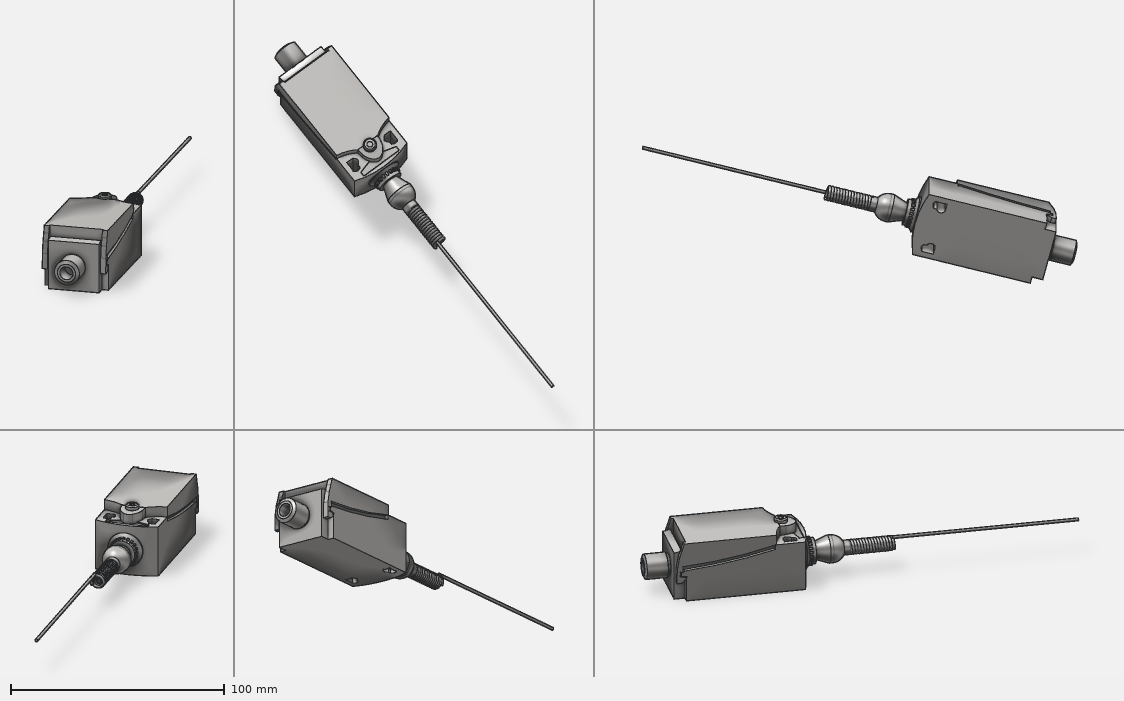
import cadquery as cq
import math


OVERLAP = 1.0

half_width = 15.5
head_z = 24.7
cover_z = 29.7
front_wall_y = 5.2
head_side_y = 62.3
head_end_y = 65.0
cover_end = [(half_width, 48.5), (9.6, 50.2), (5.9, 52.2)]

cheek_inner_x = 13.0
cheek_facets = [(4.2, cover_z), (3.1, 26.3), (1.9, 22.5), (0.8, 17.0), (0.6, 9.5)]
hook_end_y = 3.0
hook_curve = (4.2, 10.5)

groove_depth = 1.7
groove_end_y = 48.0
groove_middle_y = 25.5
groove_tip_y = 3.5
seam_start_y = 5.5
seam_start_z = 12.1
seam_tip_y = 2.3
seam_bottom_z = 12.7
seam_top_z = 15.0
seam_width = 0.5

plug_half_width = 12.3
plug_z = 23.8
plug_ridge_y = 3.5
plug_ridge_z = 24.7
plug_gap_depth = 1.7
axis_z = 12.3
connector_radius = 6.0
connector_neck_radius = 5.5
connector_neck_length = 1.3
connector_length = 12.3
rim_radius = 4.4
rim_bevel = 0.8
bore_radius = 3.1
bore_depth = 8.4

pocket_depth = 0.6
slot_x = 11.0
slot_width = 3.5
slot_bottom_y = 52.9
slot_top_y = 59.1
hole_x = 10.0
hole_radius = 2.0
block_nose_y = 61.2
block_nose_z = 28.8
block_step = 0.2
screw_y = 54.0
screw_z = 31.4
screw_radius = 3.1
screw_chamfer = 0.6
socket_radius = 1.35
socket_depth = 0.5

bulb_radius = 6.7
bulb_y = 78.2
bulb_band_y = 76.7
collar_radius = 3.5
collar_end_y = 87.0
neck_radius = 4.2
skirt_radius = 6.3
skirt_end_y = 69.8
flare_radius = 8.5
flare_end_y = 66.9
rib_count = 20
rib_width = 1.0
rib_radius = 7.0
rib_start_y = 64.8
rib_end_y = 68.1

coil_wire_radius = 0.67
coil_radius = 3.0
coil_pitch = 1.38
spring_end_y = 107.8
whisker_radius = 0.73
whisker_x = 1.3
whisker_z = 15.9
whisker_end_y = 196.7


def side_plane(x):
    """YZ plane at the given x; extrusions from it grow toward +X."""
    return cq.Workplane("YZ", origin=(x, 0, 0))


def both_sides(solid):
    return solid.union(solid.mirror("YZ"))


def mirrored(points):
    """The points with x negated, in reverse order."""
    return [(-x, y) for x, y in reversed(points)]


def revolved(profile):
    """Turn a closed (radius, y) profile about the switch axis."""
    return profile.close().revolve(360, (0, 0, 0), (0, 1, 0)).translate((0, 0, axis_z))


def make_housing():
    plan = (
        cq.Workplane("XY")
        .moveTo(-half_width, front_wall_y)
        .lineTo(half_width, front_wall_y)
        .lineTo(half_width, head_side_y)
        .threePointArc((0, head_end_y), (-half_width, head_side_y))
        .close()
    )
    housing = plan.extrude(cover_z)
    left_arc = mirrored(cover_end)
    above_head = (
        cq.Workplane("XY", origin=(0, 0, head_z))
        .moveTo(*cover_end[0])
        .threePointArc(*cover_end[1:])
        .lineTo(*left_arc[0])
        .threePointArc(*left_arc[1:])
        .lineTo(-half_width, head_end_y)
        .lineTo(half_width, head_end_y)
        .close()
        .extrude(cover_z - head_z)
    )
    return housing.cut(above_head)


def make_cheeks():
    inside_y = front_wall_y + OVERLAP
    cheek = (
        side_plane(cheek_inner_x)
        .moveTo(inside_y, cover_z)
        .polyline(cheek_facets, includeCurrent=True)
        .lineTo(hook_end_y, cheek_facets[-1][1])
        .threePointArc(hook_curve, (seam_start_y, seam_start_z))
        .lineTo(inside_y, seam_start_z)
        .close()
        .extrude(half_width - cheek_inner_x)
    )
    return both_sides(cheek)


def make_side_grooves():
    groove = (
        side_plane(half_width - groove_depth)
        .moveTo(groove_end_y, head_z)
        .threePointArc((groove_middle_y, 20.0), (groove_tip_y, 18.0))
        .lineTo(groove_tip_y, 15.3)
        .lineTo(seam_tip_y, seam_top_z)
        .lineTo(seam_tip_y, seam_bottom_z)
        .lineTo(seam_start_y, seam_start_z)
        .lineTo(seam_start_y, seam_start_z + seam_width)
        .lineTo(seam_tip_y + seam_width, seam_bottom_z + seam_width)
        .lineTo(seam_tip_y + seam_width, seam_top_z - seam_width)
        .lineTo(4.4, 15.7)
        .threePointArc((groove_middle_y, 18.0), (groove_end_y, 22.4))
        .close()
        .extrude(groove_depth)
    )
    return both_sides(groove)


def make_plug():
    back_y = front_wall_y + OVERLAP
    gap_floor_z = plug_z - plug_gap_depth
    return (
        side_plane(-plug_half_width)
        .polyline([
            (0, 0),
            (back_y, 0),
            (back_y, gap_floor_z),
            (plug_ridge_y, gap_floor_z),
            (plug_ridge_y, plug_ridge_z),
            (0, plug_z),
        ])
        .close()
        .extrude(2 * plug_half_width)
    )


def make_connector():
    tip_y = -connector_length
    bore_end_y = tip_y + bore_depth
    return revolved(
        cq.Workplane("XY")
        .moveTo(0, OVERLAP)
        .lineTo(connector_neck_radius, OVERLAP)
        .lineTo(connector_neck_radius, -connector_neck_length)
        .lineTo(connector_radius, -connector_neck_length)
        .lineTo(connector_radius, tip_y + rim_bevel)
        .lineTo(rim_radius, tip_y)
        .lineTo(bore_radius, tip_y)
        .lineTo(bore_radius, bore_end_y)
        .lineTo(0, bore_end_y)
    )


def make_mounting_holes():
    slot_arc = 0.8
    slot_left = slot_x - slot_width / 2
    slot_right = slot_x + slot_width / 2
    slot = (
        cq.Workplane("XY")
        .moveTo(slot_left, slot_bottom_y)
        .lineTo(slot_right, slot_bottom_y)
        .lineTo(slot_right, slot_top_y - slot_arc)
        .threePointArc((slot_x, slot_top_y), (slot_left, slot_top_y - slot_arc))
        .close()
        .extrude(cover_z)
    )
    hole_y = slot_bottom_y + hole_radius
    hole = cq.Workplane("XY").center(hole_x, hole_y).circle(hole_radius).extrude(cover_z)
    return both_sides(slot.union(hole))


def make_head_pocket():
    edge = [(10.5, 63.0), (10.5, 60.6), (6.7, 59.5), (3.8, 58.7)]
    return (
        cq.Workplane("XY", origin=(0, 0, head_z - pocket_depth))
        .polyline(edge + mirrored(edge))
        .close()
        .extrude(pocket_depth)
    )


def make_screw_block():
    base_x, base_y = cover_end[-1]
    blank = (
        cq.Workplane("XY", origin=(0, 0, head_z - OVERLAP))
        .moveTo(base_x, base_y - OVERLAP)
        .lineTo(base_x, base_y)
        .lineTo(5.5, 55.2)
        .threePointArc((4.4, 58.0), (2.3, 60.5))
        .threePointArc((0, block_nose_y), (-2.3, 60.5))
        .threePointArc((-4.4, 58.0), (-5.5, 55.2))
        .lineTo(-base_x, base_y)
        .lineTo(-base_x, base_y - OVERLAP)
        .close()
        .extrude(cover_z)
    )
    below_slope = (
        side_plane(-base_x)
        .polyline([
            (base_y - OVERLAP, 0),
            (block_nose_y, 0),
            (block_nose_y, block_nose_z),
            (base_y, cover_z - block_step),
            (base_y - OVERLAP, cover_z - block_step),
        ])
        .close()
        .extrude(2 * base_x)
    )
    return blank.intersect(below_slope)


def make_screw():
    return (
        cq.Workplane("XY", origin=(0, screw_y, head_z))
        .circle(screw_radius)
        .extrude(screw_z - head_z)
        .faces(">Z")
        .chamfer(screw_chamfer)
        .faces(">Z")
        .workplane()
        .hole(2 * socket_radius, socket_depth)
    )


def make_boot():
    bulb_end_y = bulb_y + math.sqrt(bulb_radius ** 2 - collar_radius ** 2)
    bulb_middle = (bulb_radius * math.cos(math.pi / 6), bulb_y + bulb_radius / 2)
    boot = revolved(
        cq.Workplane("XY")
        .moveTo(0, head_side_y)
        .lineTo(flare_radius, head_side_y)
        .lineTo(flare_radius, head_end_y)
        .lineTo(skirt_radius, flare_end_y)
        .lineTo(skirt_radius, skirt_end_y)
        .lineTo(neck_radius, skirt_end_y)
        .lineTo(bulb_radius, bulb_band_y)
        .lineTo(bulb_radius, bulb_y)
        .threePointArc(bulb_middle, (collar_radius, bulb_end_y))
        .lineTo(collar_radius, collar_end_y)
        .lineTo(0, collar_end_y)
    )
    rib_height = rib_radius - skirt_radius + OVERLAP
    rib = (
        cq.Workplane("XY", origin=(0, rib_start_y, skirt_radius - OVERLAP))
        .box(rib_width, rib_end_y - rib_start_y, rib_height, centered=(True, False, False))
    )
    for i in range(rib_count):
        turned = rib.rotate((0, 0, 0), (0, 1, 0), i * 360 / rib_count)
        boot = boot.union(turned.translate((0, 0, axis_z)))
    return boot


def make_spring():
    start_y = collar_end_y - coil_pitch / 2
    helix = cq.Wire.makeHelix(coil_pitch, spring_end_y - start_y, coil_radius)
    coil = (
        cq.Workplane("XZ", origin=(coil_radius, 0, 0))
        .circle(coil_wire_radius)
        .sweep(cq.Workplane(obj=helix), isFrenet=True)
    )
    turns = (spring_end_y - start_y) / coil_pitch
    lying = coil.rotate((0, 0, 0), (1, 0, 0), -90)
    whisker_angle = math.degrees(math.atan2(whisker_z - axis_z, whisker_x))
    phased = lying.rotate((0, 0, 0), (0, 1, 0), 360 * turns - whisker_angle)
    return phased.translate((0, start_y, axis_z))


def make_whisker():
    start_y = spring_end_y - coil_wire_radius
    return (
        cq.Workplane("XZ", origin=(whisker_x, start_y, whisker_z))
        .circle(whisker_radius)
        .extrude(start_y - whisker_end_y)
    )


result = (
    make_housing()
    .union(make_cheeks())
    .cut(make_side_grooves())
    .cut(make_head_pocket())
    .cut(make_mounting_holes())
    .union(make_plug())
    .union(make_connector())
    .union(make_screw_block())
    .union(make_screw())
    .union(make_boot())
    .union(make_spring())
    .union(make_whisker())
)